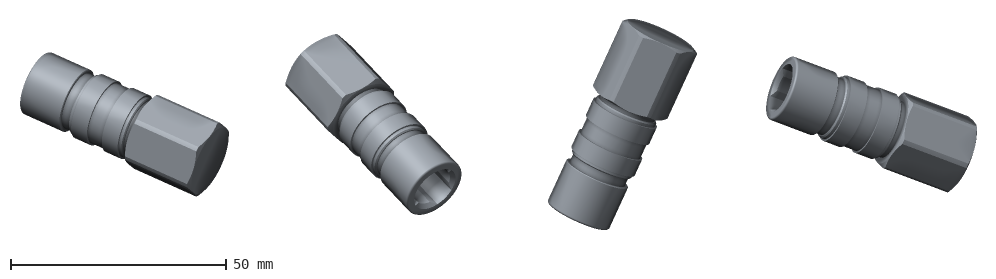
import cadquery as cq
import math

total_length = 47.0

sleeve_diameter = 15.7
sleeve_end = 11.0
mouth_fillet = 0.5
sleeve_rear_chamfer = 0.15

neck_diameter = 14.0

collar_diameter = 15.2
collar_start = 13.15
collar_end = 27.8
collar_chamfer = 0.3
band_diameter = 16.2
band_width = 4.25
front_band_start = 14.2
rear_band_start = 22.5

hex_start = 29.0
hex_across_flats = 17.0
hex_corner_diameter = 19.0
hex_end_diameter = 16.8
hex_chamfer_length = 0.6

socket_diameter = 11.8
socket_depth = 15.0
inner_bore_diameter = 9.1
inner_bore_depth = 3.0
chamber_diameter = 13.0
chamber_start = 7.0

key_count = 3
first_key_angle = 180.0
key_flat_distance = 4.7
key_bore_diameter = 10.1
key_lead_in_length = 1.0
key_end = chamber_start


def cylinder(diameter, start, end):
    """Solid cylinder on the X axis between two stations."""
    return cq.Workplane("YZ", origin=(start, 0, 0)).circle(diameter / 2).extrude(end - start)


def cone(start_diameter, end_diameter, start, end):
    """Solid truncated cone on the X axis between two stations."""
    profile = [
        (start, 0),
        (start, start_diameter / 2),
        (end, end_diameter / 2),
        (end, 0),
    ]
    return cq.Workplane("XY").polyline(profile).close().revolve(360, (0, 0, 0), (1, 0, 0))


def make_sleeve():
    sleeve = cylinder(sleeve_diameter, 0, sleeve_end)
    sleeve = sleeve.faces("<X").edges().fillet(mouth_fillet)
    return sleeve.faces(">X").edges().chamfer(sleeve_rear_chamfer)


def make_collar():
    collar = cylinder(collar_diameter, collar_start, collar_end)
    collar = collar.faces("<X or >X").edges().chamfer(collar_chamfer)
    for band_start in (front_band_start, rear_band_start):
        collar = collar.union(cylinder(band_diameter, band_start, band_start + band_width))
    return collar


def make_hex_body():
    """Hexagonal prism with rounded corners and both ends turned to a cone."""
    point_diameter = hex_across_flats / math.cos(math.pi / 6)
    prism = (
        cq.Workplane("YZ", origin=(hex_start, 0, 0))
        .polygon(6, point_diameter)
        .extrude(total_length - hex_start)
    )
    cone_start = hex_start + hex_chamfer_length
    cone_end = total_length - hex_chamfer_length
    turned_blank = (
        cone(hex_end_diameter, hex_corner_diameter, hex_start, cone_start)
        .union(cylinder(hex_corner_diameter, cone_start, cone_end))
        .union(cone(hex_corner_diameter, hex_end_diameter, cone_end, total_length))
    )
    return prism.intersect(turned_blank)


def make_keys():
    """Keys around the socket wall, with a conical lead-in at the mouth."""
    key_root_radius = (sleeve_diameter + socket_diameter) / 4
    ring = cylinder(2 * key_root_radius, 0, key_end)
    ring = ring.cut(cylinder(key_bore_diameter, 0, key_end))
    ring = ring.cut(cone(socket_diameter, key_bore_diameter, 0, key_lead_in_length))

    flat_block = cq.Workplane("XY", origin=(0, key_flat_distance, 0)).box(
        key_end, key_root_radius, 2 * key_root_radius, centered=(False, False, True)
    )
    keys = cq.Workplane("XY")
    for index in range(key_count):
        angle = first_key_angle + index * 360 / key_count
        keys = keys.union(flat_block.rotate((0, 0, 0), (1, 0, 0), angle).intersect(ring))
    return keys


def make_socket():
    """Space removed from the plug end: keyed mouth, wider chamber, blind inner bore."""
    mouth = cylinder(socket_diameter, 0, chamber_start).cut(make_keys())
    chamber = cylinder(chamber_diameter, chamber_start, socket_depth)
    inner_bore = cylinder(inner_bore_diameter, socket_depth, socket_depth + inner_bore_depth)
    return mouth.union(chamber).union(inner_bore)


body = (
    cylinder(neck_diameter, sleeve_end, hex_start)
    .union(make_sleeve())
    .union(make_collar())
    .union(make_hex_body())
)
result = body.cut(make_socket())